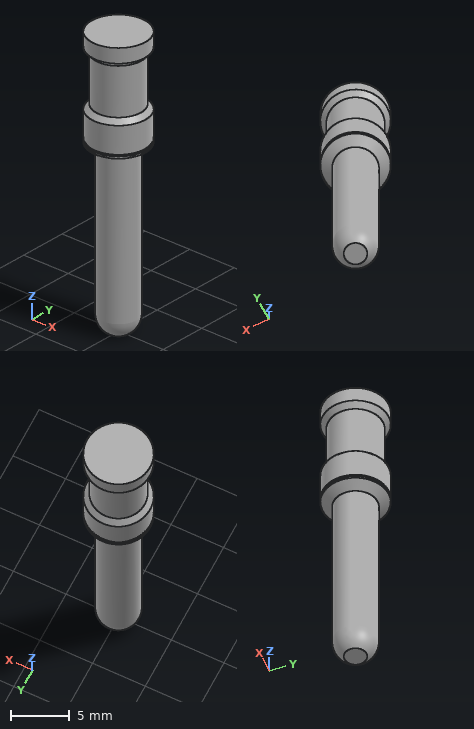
import cadquery as cq
import math

length = 29.0
body_radius = 6.0 / 2
neck_radius = 5.0 / 2
pin_radius = 4.0 / 2

head_height = 1.5
neck_chamfer = body_radius - neck_radius
neck_length = 5.0
collar_height = 2.8
groove_width = 0.17
groove_depth = 0.15
lip_height = 0.2
taper_angle = math.radians(30)

tip_radius = pin_radius / 2
tip_height = math.sqrt(pin_radius**2 - tip_radius**2)
tip_arc_middle = math.asin(tip_height / pin_radius) / 2

head_bottom = length - head_height
neck_top = head_bottom - neck_chamfer
neck_bottom = neck_top - neck_length
collar_top = neck_bottom - neck_chamfer
groove_top = collar_top - collar_height
groove_bottom = groove_top - groove_width
taper_top = groove_bottom - lip_height
taper_bottom = taper_top - (body_radius - pin_radius) * math.tan(taper_angle)

profile = (
    cq.Workplane("XZ")
    .moveTo(0, length)
    .lineTo(body_radius, length)
    .lineTo(body_radius, head_bottom)
    .lineTo(neck_radius, neck_top)
    .lineTo(neck_radius, neck_bottom)
    .lineTo(body_radius, collar_top)
    .lineTo(body_radius, groove_top)
    .lineTo(body_radius - groove_depth, groove_bottom)
    .lineTo(body_radius, groove_bottom)
    .lineTo(body_radius, taper_top)
    .lineTo(pin_radius, taper_bottom)
    .lineTo(pin_radius, tip_height)
    .threePointArc(
        (
            pin_radius * math.cos(tip_arc_middle),
            tip_height - pin_radius * math.sin(tip_arc_middle),
        ),
        (tip_radius, 0),
    )
    .lineTo(0, 0)
    .close()
)

result = profile.revolve(360, (0, 0, 0), (0, 1, 0))